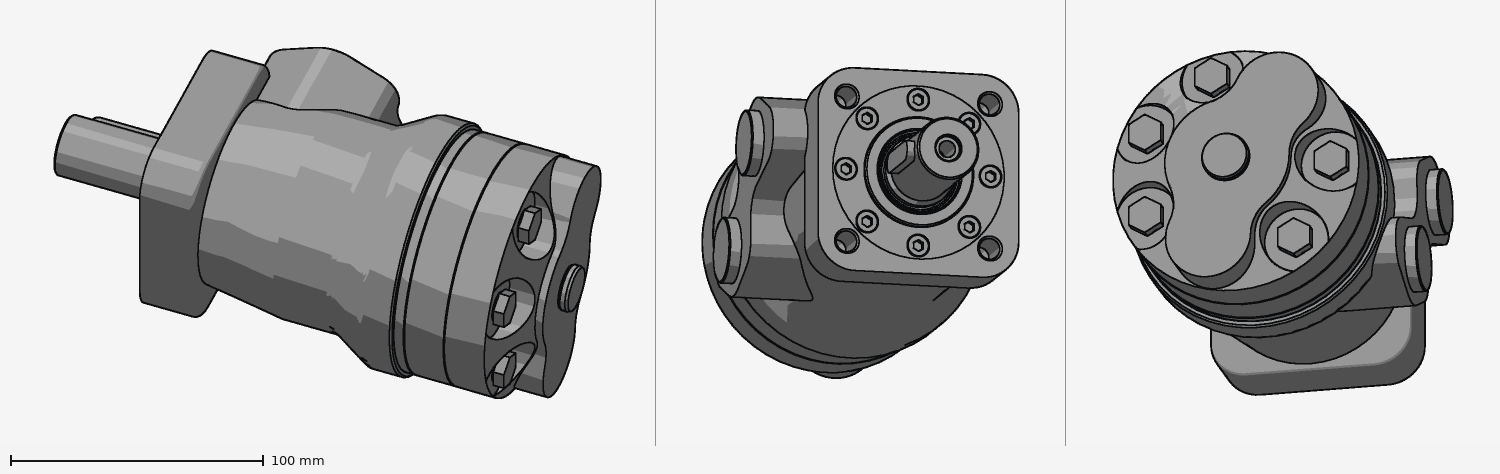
import cadquery as cq
import math


flange_side = 82.0
flange_thickness = 23.6
flange_corner_radius = 15.0
flange_rear_fillet = 2.5
neck_radius = 38.0
barrel_radius = 43.0
barrel_start_x = 57.6
shoulder_start_x = 81.75
shoulder_angle = math.radians(30)
shoulder_fillet = 5.5
collar_radius = 52.24
collar_rear_chamfer = 0.8
housing_end_x = 111.5

mount_hole_circle = 82.6
mount_hole_dia = 8.38
mount_hole_depth = 18.0
mount_hole_mouth_dia = 10.0
drill_tip_angle = math.radians(59)

port_front_x = 44.4
port_rear_x = 80.4
port_z = 18.0
block_top_y = 55.0
port_top_y = 60.0
port_boss_dia = 26.0
port_boss_chamfer = 0.5
wing_offset = 16.5
wing_radius = 11.5
crown_radius = 18.3
inner_slope = math.radians(17.5)
valley_radius = 13.5

cover_dia = 70.0
cover_depth = 15.0
pilot_dia = 44.4
pilot_height = 2.0
pilot_chamfer = 0.65
seal_recess_dia = 33.5
seal_recess_depth = 1.5
seal_recess_chamfer = 0.6
seal_groove_outer_dia = 31.8
seal_groove_inner_dia = 30.2
seal_groove_depth = 0.6
screw_count = 8
screw_circle = 59.0
screw_head_dia = 8.5
screw_recess_dia = 9.0
screw_gap_depth = 0.6
socket_width = 4.0
socket_depth = 2.5

shaft_dia = 25.0
shaft_end_x = -48.05
shaft_end_chamfer = 0.7
journal_dia = 28.5
journal_cone_start_x = -4.9
journal_cone_end_x = -3.3
center_recess_dia = 10.0
center_recess_depth = 2.0
center_recess_chamfer = 0.5
center_hole_dia = 6.65
center_hole_depth = 20.0
key_width = 8.0
key_length = 32.0
key_height = 7.0
key_top_y = 15.5
key_start_x = -42.7

stack_dia = 100.0
stack_edge_chamfer = 0.25
spacer_end_x = 116.0
ring_end_x = 133.0
rim_end_x = 150.2
hub_radius = 25.3
cone_end_x = 162.0
cover_end_x = 165.3
bolt_places = 7
bolt_step = 2 * math.pi / bolt_places
bolt_circle_radius = 39.7
bolt_head_width = 13.0
bolt_head_height = 5.3
bolt_washer_dia = 11.9
bolt_washer_height = 0.7
bolt_pocket_dia = 26.0
bolt_seats = (2, 3, 4, 6, 7)
lobe_offset = 32.4
lobe_radius = 17.3
lobe_fillet = 16.3
lobe_axis = -bolt_step / 2
lobe_spread = math.radians(78)
plug_dia = 19.0
plug_neck_dia = 18.0
plug_neck_length = 0.5
plug_end_x = 169.6
plug_rim_bevel = 0.5
plug_front_bevel_length = 0.5
plug_end_bevel_length = 1.2


def polar(radius, angle):
    return (radius * math.cos(angle), radius * math.sin(angle))


def shifted(point, radius, angle):
    step = polar(radius, angle)
    return (point[0] + step[0], point[1] + step[1])


def direction(start, end):
    return math.atan2(end[1] - start[1], end[0] - start[0])


def mid_angle(center, start, end):
    """Direction from center that halves the short arc from start to end."""
    a = direction(center, start)
    b = direction(center, end)
    return math.atan2(math.sin(a) + math.sin(b), math.cos(a) + math.cos(b))


def arc_between(wire, center, radius, start, end):
    """Add the short arc about center from the current point, start, to end."""
    return wire.threePointArc(shifted(center, radius, mid_angle(center, start, end)), end)


def disk(dia, x_start, x_end):
    return cq.Workplane("YZ", origin=(x_start, 0, 0)).circle(dia / 2).extrude(x_end - x_start)


def turned(points):
    """Solid of revolution about X from (x, radius) points that start and end on the axis."""
    return cq.Workplane("XY").polyline(points).close().revolve(360, (0, 0, 0), (1, 0, 0))


def drilled_hole(dia, x_start, depth):
    """Cutter for a blind hole along X with a conical bottom."""
    radius = dia / 2
    tip_x = x_start + depth + radius / math.tan(drill_tip_angle)
    return turned([(x_start, 0), (x_start, radius), (x_start + depth, radius), (tip_x, 0)])


def make_flange():
    return (
        cq.Workplane("YZ")
        .rect(flange_side, flange_side)
        .extrude(flange_thickness)
        .edges("|X")
        .fillet(flange_corner_radius)
        .faces(">X")
        .edges()
        .fillet(flange_rear_fillet)
    )


def make_barrel():
    """Turned body: tapered neck, cylinder, 30 degree shoulder with rounded ends, collar."""
    shoulder_end_x = shoulder_start_x + (collar_radius - barrel_radius) / math.tan(shoulder_angle)
    tangent = shoulder_fillet * math.tan(shoulder_angle / 2)
    foot_end = shifted((shoulder_start_x, barrel_radius), tangent, shoulder_angle)
    foot_start = (shoulder_start_x - tangent, barrel_radius)
    foot_center = (foot_start[0], barrel_radius + shoulder_fillet)
    top_start = shifted((shoulder_end_x, collar_radius), -tangent, shoulder_angle)
    top_end = (shoulder_end_x + tangent, collar_radius)
    top_center = (top_end[0], collar_radius - shoulder_fillet)

    outline = (
        cq.Workplane("XY")
        .moveTo(0, 0)
        .lineTo(0, neck_radius)
        .lineTo(flange_thickness, neck_radius)
        .lineTo(barrel_start_x, barrel_radius)
        .lineTo(*foot_start)
    )
    outline = arc_between(outline, foot_center, shoulder_fillet, foot_start, foot_end)
    outline = outline.lineTo(*top_start)
    outline = arc_between(outline, top_center, shoulder_fillet, top_start, top_end)
    outline = (
        outline.lineTo(housing_end_x - collar_rear_chamfer, collar_radius)
        .lineTo(housing_end_x, collar_radius - collar_rear_chamfer)
        .lineTo(housing_end_x, 0)
        .close()
    )
    return outline.revolve(360, (0, 0, 0), (1, 0, 0))


def make_port_block():
    """Two lobes that map onto each other by a half turn about the block's middle."""
    middle_x = (port_front_x + port_rear_x) / 2
    half_step = (port_rear_x - port_front_x) / 2
    port = (-half_step, port_z)
    outer_wing = (port[0] - wing_offset, port_z)
    inner_wing = (port[0] + wing_offset, port_z)
    opposite_wing = (-inner_wing[0], -inner_wing[1])

    outer_slope = math.asin((crown_radius - wing_radius) / wing_offset)
    outer_left = math.pi / 2 + outer_slope
    outer_right = math.pi / 2 - outer_slope
    inner_normal = -math.pi / 2 - inner_slope

    touch_gap = wing_radius + valley_radius
    along = (math.cos(inner_slope), -math.sin(inner_slope))
    base = shifted(outer_wing, touch_gap, inner_normal)
    to_wing = (opposite_wing[0] - base[0], opposite_wing[1] - base[1])
    run = to_wing[0] * along[0] + to_wing[1] * along[1]
    rise = to_wing[0] * along[1] - to_wing[1] * along[0]
    run -= math.sqrt(touch_gap**2 - rise**2)
    valley = (base[0] + run * along[0], base[1] + run * along[1])
    valley_top = shifted(valley, valley_radius, inner_normal + math.pi)
    valley_side_angle = direction(opposite_wing, valley)
    valley_side = shifted(opposite_wing, wing_radius, valley_side_angle)

    def half_outline(wire, turn):
        """From the end of the other valley, over the lobe, to the end of this valley."""

        def place(point):
            return (turn * point[0], turn * point[1])

        inner_end = shifted(inner_wing, wing_radius, outer_right)
        inner_mid = shifted(inner_wing, wing_radius, (outer_right + valley_side_angle - math.pi) / 2)
        outer_start = shifted(outer_wing, wing_radius, outer_left)
        outer_end = shifted(outer_wing, wing_radius, inner_normal)
        outer_mid = shifted(outer_wing, wing_radius, (outer_left + inner_normal + 2 * math.pi) / 2)
        crown_right = shifted(port, crown_radius, outer_right)
        crown_left = shifted(port, crown_radius, outer_left)
        crown_mid = shifted(port, crown_radius, math.pi / 2)
        valley_mid = shifted(valley, valley_radius, mid_angle(valley, valley_top, valley_side))
        return (
            wire.threePointArc(place(inner_mid), place(inner_end))
            .lineTo(*place(crown_right))
            .threePointArc(place(crown_mid), place(crown_left))
            .lineTo(*place(outer_start))
            .threePointArc(place(outer_mid), place(outer_end))
            .lineTo(*place(valley_top))
            .threePointArc(place(valley_mid), place(valley_side))
        )

    wire = cq.Workplane("XZ", origin=(middle_x, 0, 0)).moveTo(-valley_side[0], -valley_side[1])
    for turn in (1, -1):
        wire = half_outline(wire, turn)
    return wire.close().extrude(-block_top_y)


def make_port_bosses():
    return (
        cq.Workplane("XZ")
        .pushPoints([(port_front_x, port_z), (port_rear_x, -port_z)])
        .circle(port_boss_dia / 2)
        .extrude(-port_top_y)
        .faces(">Y")
        .edges()
        .chamfer(port_boss_chamfer)
    )


def mounting_hole_cutter():
    mouth_depth = (mount_hole_mouth_dia - mount_hole_dia) / 2
    mouth = turned(
        [
            (0, 0),
            (0, mount_hole_mouth_dia / 2),
            (mouth_depth, mount_hole_dia / 2),
            (mouth_depth, 0),
        ]
    )
    return drilled_hole(mount_hole_dia, 0, mount_hole_depth).union(mouth)


def make_housing():
    body = make_flange().union(make_barrel()).union(make_port_block()).union(make_port_bosses())
    for corner in range(4):
        y, z = polar(mount_hole_circle / 2, math.pi / 4 + corner * math.pi / 2)
        body = body.cut(mounting_hole_cutter().translate((0, y, z)))
    return body.cut(disk(cover_dia, 0, cover_depth))


def make_front_cover():
    pilot = disk(pilot_dia, -pilot_height, 0).faces("<X").edges().chamfer(pilot_chamfer)
    body = disk(cover_dia, 0, cover_depth).union(pilot)
    recess_wall = seal_recess_dia / 2
    body = body.cut(
        turned(
            [
                (-pilot_height, 0),
                (-pilot_height, recess_wall + seal_recess_chamfer),
                (seal_recess_chamfer - pilot_height, recess_wall),
                (seal_recess_depth - pilot_height, recess_wall),
                (seal_recess_depth - pilot_height, 0),
            ]
        )
    )
    seal_face_x = seal_recess_depth - pilot_height
    groove = disk(seal_groove_outer_dia, seal_face_x, seal_face_x + seal_groove_depth)
    groove = groove.cut(disk(seal_groove_inner_dia, seal_face_x, seal_face_x + seal_groove_depth))
    body = body.cut(groove).cut(disk(journal_dia, -pilot_height, cover_depth))

    screws = cq.Workplane("YZ").polarArray(screw_circle / 2, 0, 360, screw_count, rotate=False)
    head_gaps = screws.circle(screw_recess_dia / 2).circle(screw_head_dia / 2).extrude(screw_gap_depth)
    sockets = screws.polygon(6, socket_width, circumscribed=True).extrude(socket_depth)
    return body.cut(head_gaps).cut(sockets)


def make_shaft():
    body = turned(
        [
            (shaft_end_x, 0),
            (shaft_end_x, shaft_dia / 2 - shaft_end_chamfer),
            (shaft_end_x + shaft_end_chamfer, shaft_dia / 2),
            (journal_cone_start_x, shaft_dia / 2),
            (journal_cone_end_x, journal_dia / 2),
            (cover_depth, journal_dia / 2),
            (cover_depth, 0),
        ]
    )
    key = (
        cq.Workplane("XZ", origin=(key_start_x + key_length / 2, key_top_y, 0))
        .slot2D(key_length, key_width)
        .extrude(key_height)
    )
    recess = disk(center_recess_dia, shaft_end_x, shaft_end_x + center_recess_depth)
    recess = recess.union(
        turned(
            [
                (shaft_end_x, 0),
                (shaft_end_x, center_recess_dia / 2 + center_recess_chamfer),
                (shaft_end_x + center_recess_chamfer, center_recess_dia / 2),
                (shaft_end_x + center_recess_chamfer, 0),
            ]
        )
    )
    return body.union(key).cut(recess).cut(drilled_hole(center_hole_dia, shaft_end_x, center_hole_depth))


def make_plate(x_start, x_end):
    """Round plate with a small chamfer on both rims."""
    return disk(stack_dia, x_start, x_end).edges().chamfer(stack_edge_chamfer)


def make_lobed_hub():
    """Hub with two round lobes, each blended into the hub by a concave arc on both sides."""
    hub_reach = hub_radius + lobe_fillet
    lobe_reach = lobe_radius + lobe_fillet
    spread = math.acos((hub_reach**2 + lobe_offset**2 - lobe_reach**2) / (2 * hub_reach * lobe_offset))
    angles = [lobe_axis + lobe_spread, lobe_axis - lobe_spread + 2 * math.pi]

    wire = cq.Workplane("YZ", origin=(rim_end_x, 0, 0)).moveTo(*polar(hub_radius, angles[0] - spread))
    next_angles = angles[1:] + [angles[0] + 2 * math.pi]
    for angle, next_angle in zip(angles, next_angles):
        lobe_center = polar(lobe_offset, angle)
        blend_in = polar(hub_reach, angle - spread)
        blend_out = polar(hub_reach, angle + spread)
        hub_in = polar(hub_radius, angle - spread)
        hub_out = polar(hub_radius, angle + spread)
        lobe_in = shifted(lobe_center, lobe_radius, direction(lobe_center, blend_in))
        lobe_out = shifted(lobe_center, lobe_radius, direction(lobe_center, blend_out))
        wire = arc_between(wire, blend_in, lobe_fillet, hub_in, lobe_in)
        wire = wire.threePointArc(polar(lobe_offset + lobe_radius, angle), lobe_out)
        wire = arc_between(wire, blend_out, lobe_fillet, lobe_out, hub_out)
        hub_end = polar(hub_radius, next_angle - spread)
        wire = wire.threePointArc(polar(hub_radius, (angle + next_angle) / 2), hub_end)
    return wire.close().extrude(cover_end_x - rim_end_x)


def make_bolt_head():
    """Hexagon head on a washer face, with two corners pointing along Z."""
    head = (
        cq.Workplane("YZ", origin=(rim_end_x + bolt_washer_height, 0, 0))
        .polygon(6, bolt_head_width, circumscribed=True)
        .extrude(bolt_head_height - bolt_washer_height)
    )
    return head.union(disk(bolt_washer_dia, rim_end_x, rim_end_x + bolt_washer_height))


def make_drain_plug():
    """Round plug with a short neck and a head bevelled at both ends."""
    head_x = cover_end_x + plug_neck_length
    bevelled = plug_dia / 2 - plug_rim_bevel
    return turned(
        [
            (cover_end_x, 0),
            (cover_end_x, plug_neck_dia / 2),
            (head_x, bevelled),
            (head_x + plug_front_bevel_length, plug_dia / 2),
            (plug_end_x - plug_end_bevel_length, plug_dia / 2),
            (plug_end_x, bevelled),
            (plug_end_x, 0),
        ]
    )


def make_end_cover():
    rim = disk(stack_dia, ring_end_x, rim_end_x).faces("<X").edges().chamfer(stack_edge_chamfer)
    cone = turned([(rim_end_x, 0), (rim_end_x, stack_dia / 2), (cone_end_x, hub_radius), (cone_end_x, 0)])
    seats = [polar(bolt_circle_radius, place * bolt_step) for place in bolt_seats]
    for y, z in seats:
        cone = cone.cut(disk(bolt_pocket_dia, rim_end_x, cone_end_x).translate((0, y, z)))
    body = rim.union(cone).union(make_lobed_hub()).union(make_drain_plug())
    for y, z in seats:
        body = body.union(make_bolt_head().translate((0, y, z)))
    return body


housing = make_housing()
front_cover = make_front_cover()
shaft = make_shaft()
spacer_plate = make_plate(housing_end_x, spacer_end_x)
gear_ring = make_plate(spacer_end_x, ring_end_x)
end_cover = make_end_cover()

result = cq.Compound.makeCompound(
    [
        housing.val(),
        front_cover.val(),
        shaft.val(),
        spacer_plate.val(),
        gear_ring.val(),
        end_cover.val(),
    ]
)